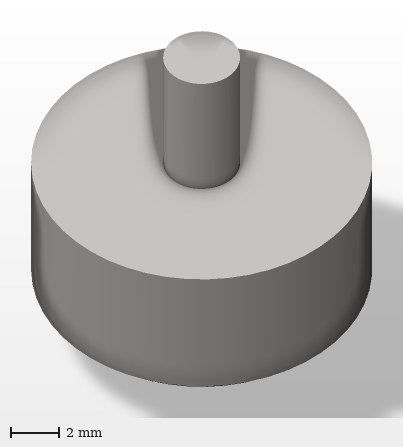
import cadquery as cq

total_height = 14.7
body_diameter = 14.2
pin_diameter = 3.2
pin_length = 6.0
chamfer = 0.6
tip_height = 2.0

body_radius = body_diameter / 2
pin_radius = pin_diameter / 2
tip_radius = body_radius - chamfer
body_bottom = tip_height + chamfer
body_top = total_height - pin_length

half_profile = (
    cq.Workplane("XZ")
    .moveTo(0, 0)
    .lineTo(tip_radius, tip_height)
    .lineTo(body_radius, body_bottom)
    .lineTo(body_radius, body_top)
    .lineTo(pin_radius, body_top)
    .lineTo(pin_radius, total_height)
    .lineTo(0, total_height)
    .close()
)

result = half_profile.revolve(360, (0, 0, 0), (0, 1, 0))